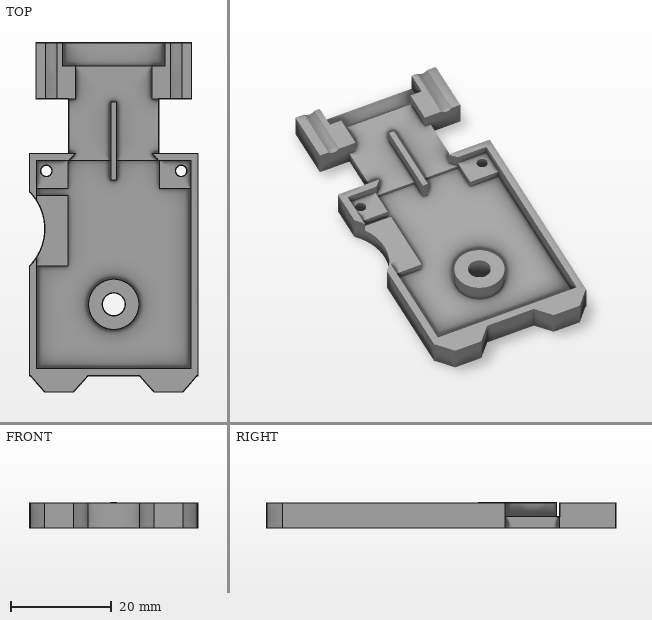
import cadquery as cq

body_width = 33.5
body_length = 44.2
body_height = 5.0
wall = 1.45
floor_height = 1.5
pad_height = 3.1

overall_length = 69.4
foot_depth = 3.2
neck_end = overall_length - foot_depth
neck_width = 17.9
neck_height = 2.3
mouth_width = 15.2
block_outer_x = 15.5
block_inner_x = 7.6
block_length = 11.2
relief_x = 10.1
relief_length = 4.65
relief_floor_height = 1.05
groove_x = 12.4
groove_width = 2.3
groove_depth = 0.55

foot_outer_x = 16.5
foot_inner_x = 5.15
foot_tip_outer_x = 13.75
foot_tip_inner_x = 8.0

pad_inner_x = 9.1
corner_pad_length = 5.5
pin_hole_diameter = 2.2
pin_hole_x = 13.4
pin_hole_y = 40.75
notch_center_y = 29.2
notch_chord = 14.85
notch_depth = 3.05
notch_pad_length = 14.0
notch_pad_start = 21.8

boss_y = 14.2
boss_diameter = 10.0
boss_hole_diameter = 4.5
boss_height = 5.0
fin_thickness = 1.1
fin_start = 38.9
fin_end = 54.4
fin_height = 5.1

half_width = body_width / 2
pocket_x = half_width - wall
pocket_end = body_length - wall


def box(x_min, x_max, y_min, y_max, z_min, z_max):
    """Box given by its limits along each axis."""
    size = (x_max - x_min, y_max - y_min, z_max - z_min)
    return cq.Workplane("XY").box(*size, centered=False).translate((x_min, y_min, z_min))


def prism(points, z_min, z_max):
    """Vertical prism over a closed XY outline."""
    return cq.Workplane("XY").workplane(offset=z_min).polyline(points).close().extrude(z_max - z_min)


def both_sides(shape):
    """The shape together with its mirror image across X = 0."""
    return shape.union(shape.mirror("YZ"))


def cylinder(x, y, diameter, height):
    """Vertical cylinder standing on Z = 0."""
    return cq.Workplane("XY").center(x, y).circle(diameter / 2).extrude(height)


def make_tray():
    """Walled tray with a tapered mouth opening onto the neck."""
    tray = box(-half_width, half_width, 0, body_length, 0, body_height)
    tray = tray.cut(box(-pocket_x, pocket_x, wall, pocket_end, floor_height, body_height))
    mouth = [
        (-neck_width / 2, pocket_end),
        (neck_width / 2, pocket_end),
        (mouth_width / 2, body_length),
        (-mouth_width / 2, body_length),
    ]
    return tray.cut(prism(mouth, neck_height, body_height))


def make_foot():
    """Tapered foot on the -X half of the front wall."""
    outline = [
        (-foot_outer_x, 0),
        (-foot_tip_outer_x, -foot_depth),
        (-foot_tip_inner_x, -foot_depth),
        (-foot_inner_x, 0),
    ]
    return prism(outline, 0, body_height)


def make_neck():
    """Flat tongue joining the tray to the clamp blocks."""
    return box(-neck_width / 2, neck_width / 2, pocket_end, neck_end, 0, neck_height)


def make_block():
    """Clamp block on the +X side, with a rounded groove along its top."""
    block_start = neck_end - block_length
    block = box(block_inner_x, block_outer_x, block_start, neck_end, 0, body_height)
    groove = (
        cq.Workplane("XZ", origin=(0, neck_end, 0))
        .moveTo(groove_x - groove_width / 2, body_height)
        .threePointArc((groove_x, body_height - groove_depth), (groove_x + groove_width / 2, body_height))
        .close()
        .extrude(block_length)
    )
    return block.cut(groove)


def make_end_relief():
    """Step across the end of the neck, below the tray floor level and into both blocks."""
    return box(-relief_x, relief_x, neck_end - relief_length, neck_end, relief_floor_height, body_height)


def make_notch():
    """Shallow round finger notch through the -X wall."""
    half_chord = notch_chord / 2
    return (
        cq.Workplane("XY")
        .moveTo(-half_width, notch_center_y - half_chord)
        .threePointArc(
            (-half_width + notch_depth, notch_center_y),
            (-half_width, notch_center_y + half_chord),
        )
        .close()
        .extrude(body_height)
    )


corner_pad = box(pad_inner_x, pocket_x, pocket_end - corner_pad_length, pocket_end, 0, pad_height)
notch_pad = box(
    -pocket_x, -pad_inner_x, notch_pad_start, notch_pad_start + notch_pad_length, 0, pad_height
)
fin = box(-fin_thickness / 2, fin_thickness / 2, fin_start, fin_end, 0, fin_height)

result = (
    make_tray()
    .union(make_neck())
    .union(both_sides(make_foot()))
    .union(both_sides(make_block()))
    .union(both_sides(corner_pad))
    .union(notch_pad)
    .union(cylinder(0, boss_y, boss_diameter, boss_height))
    .union(fin)
    .cut(make_end_relief())
    .cut(make_notch())
    .cut(both_sides(cylinder(pin_hole_x, pin_hole_y, pin_hole_diameter, body_height)))
    .cut(cylinder(0, boss_y, boss_hole_diameter, boss_height))
)